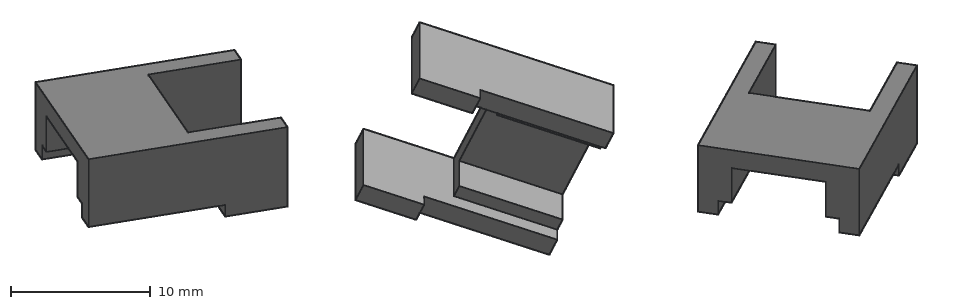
import cadquery as cq

width = 12.0
length = 15.0
height = 6.5

side_wall = 1.5
roof_thickness = 1.5
arm_length = 7.0
channel_width = 7.0
ledge_depth = 4.4
foot_length = 4.7
foot_drop = 0.95

inner_width = width - 2 * side_wall


def box_between(x_size, y_start, y_end, z_bottom, z_top):
    """Box centred on X, spanning the given Y and Z ranges."""
    return cq.Workplane("XY").box(
        x_size, y_end - y_start, z_top - z_bottom, centered=(True, False, False)
    ).translate((0, y_start, z_bottom))


body = box_between(width, 0, length, 0, height)

arm_gap = box_between(inner_width, length - arm_length, length, 0, height)

upper_channel = box_between(channel_width, 0, length, 0, height - roof_thickness)
lower_channel = box_between(inner_width, 0, length, 0, height - ledge_depth)

foot_relief = box_between(width, 0, length - foot_length, 0, foot_drop)

result = body.cut(arm_gap).cut(upper_channel).cut(lower_channel).cut(foot_relief)